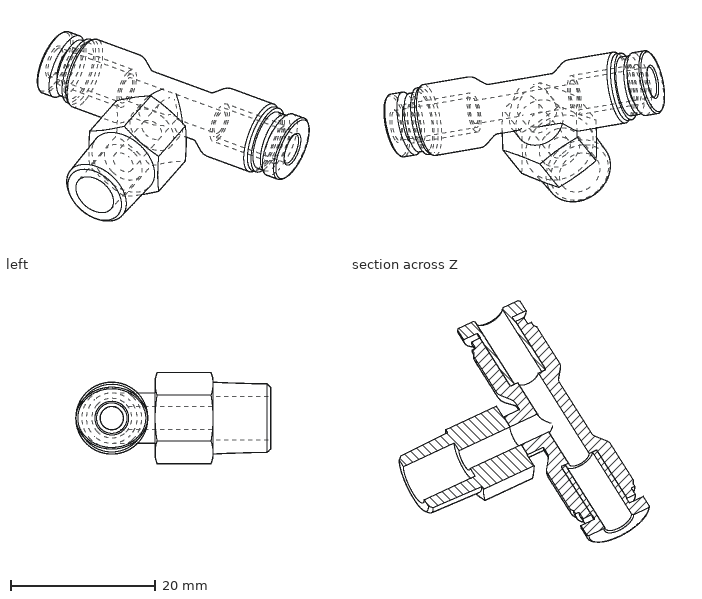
import cadquery as cq
import math

run_diameter = 7.0
port_diameter = 10.0
port_rim_diameter = 9.4
collar_diameter = 8.3
passage_diameter = 3.2

cone_inner_x = 5.0
cone_outer_x = 7.03
cone_blend_radius = 1.15
edge_margin = 0.05
port_outer_x = 14.05
rim_inner_x = 14.48
rim_outer_x = 15.05
collar_outer_x = 16.23
socket_floor_x = 7.4

sleeve_outer_x = 19.0
flange_inner_x = 17.0
neck_diameter = 5.5
tube_hole_diameter = 4.2
flange_width = 9.88
flange_height = 8.6
sleeve_chamfer = 0.23

hex_across_corners = 12.7
hex_sides = 6
hex_across_flats = hex_across_corners * math.cos(math.pi / hex_sides)
hex_start_y = -6.0
hex_length = 8.0
hex_chamfer_length = 0.25
overall_depth = 27.0
thread_diameter = port_diameter
thread_taper = 1 / 16
thread_chamfer = 0.5
stud_bore_diameter = 6.0

hex_end_y = hex_start_y - hex_length
stud_end_y = port_diameter / 2 - overall_depth


def rod(plane, start, end, diameter):
    """Cylinder along the normal of the plane, between two offsets from it."""
    return cq.Workplane(plane).workplane(offset=start).circle(diameter / 2).extrude(end - start)


def make_run():
    """Solid outer shape of the run and both ports, turned about the X axis."""
    right_half = [
        (cone_inner_x, run_diameter / 2),
        (cone_outer_x, port_diameter / 2),
        (port_outer_x, port_diameter / 2),
        (rim_inner_x, port_rim_diameter / 2),
        (rim_outer_x, port_rim_diameter / 2),
        (rim_outer_x, collar_diameter / 2),
        (collar_outer_x, collar_diameter / 2),
        (collar_outer_x, 0),
    ]
    left_half = [(-x, radius) for x, radius in reversed(right_half)]
    run = (
        cq.Workplane("XY")
        .polyline(left_half + right_half)
        .close()
        .revolve(360, (0, 0, 0), (1, 0, 0))
    )
    cone_edges = run.edges("%CIRCLE").filter(
        lambda edge: cone_inner_x - edge_margin < abs(edge.Center().x) < cone_outer_x + edge_margin
    )
    return cone_edges.fillet(cone_blend_radius)


def make_tee():
    branch = rod("XZ", 0, -hex_start_y, run_diameter)
    tee = make_run().union(branch)
    tee = tee.cut(rod("YZ", -collar_outer_x, collar_outer_x, passage_diameter))
    tee = tee.cut(rod("XZ", 0, -hex_start_y, passage_diameter))
    for side in (1, -1):
        tee = tee.cut(rod("YZ", side * socket_floor_x, side * collar_outer_x, neck_diameter))
    return tee


def make_sleeve(side):
    """Release sleeve with an oval flange, on the +X (1) or -X (-1) side."""
    flange = (
        cq.Workplane("YZ")
        .workplane(offset=flange_inner_x)
        .ellipse(flange_width / 2, flange_height / 2)
        .extrude(sleeve_outer_x - flange_inner_x)
    )
    neck = rod("YZ", socket_floor_x, flange_inner_x, neck_diameter)
    tube_hole = rod("YZ", socket_floor_x, sleeve_outer_x, tube_hole_diameter)
    sleeve = flange.union(neck).cut(tube_hole)
    sleeve = sleeve.faces(">X").edges().chamfer(sleeve_chamfer)
    return sleeve if side > 0 else sleeve.mirror("YZ")


def make_hexagon():
    """Hexagon with corners on +Z and -Z, its corners turned down at both ends."""
    hexagon = (
        cq.Workplane("XZ")
        .workplane(offset=-hex_start_y)
        .polygon(hex_sides, hex_across_corners)
        .extrude(hex_length)
        .rotate((0, 0, 0), (0, 1, 0), 180 / hex_sides)
    )
    turned_blank = (
        cq.Workplane("XY")
        .moveTo(0, hex_start_y)
        .lineTo(hex_across_flats / 2, hex_start_y)
        .lineTo(hex_across_corners / 2, hex_start_y - hex_chamfer_length)
        .lineTo(hex_across_corners / 2, hex_end_y + hex_chamfer_length)
        .lineTo(hex_across_flats / 2, hex_end_y)
        .lineTo(0, hex_end_y)
        .close()
        .revolve(360, (0, 0, 0), (0, 1, 0))
    )
    return hexagon.intersect(turned_blank)


def make_stud():
    tip_y = stud_end_y + thread_chamfer
    tip_radius = (thread_diameter - thread_taper * (hex_end_y - tip_y)) / 2
    thread = (
        cq.Workplane("XY")
        .moveTo(0, hex_end_y)
        .lineTo(thread_diameter / 2, hex_end_y)
        .lineTo(tip_radius, tip_y)
        .lineTo(tip_radius - thread_chamfer, stud_end_y)
        .lineTo(0, stud_end_y)
        .close()
        .revolve(360, (0, 0, 0), (0, 1, 0))
    )
    stud = make_hexagon().union(thread)
    stud = stud.cut(rod("XZ", -hex_start_y, -hex_end_y, passage_diameter))
    return stud.cut(rod("XZ", -hex_end_y, -stud_end_y, stud_bore_diameter))


tee = make_tee()
stud = make_stud()
sleeves = [make_sleeve(side) for side in (1, -1)]

result = cq.Compound.makeCompound([tee.val(), stud.val(), *[sleeve.val() for sleeve in sleeves]])